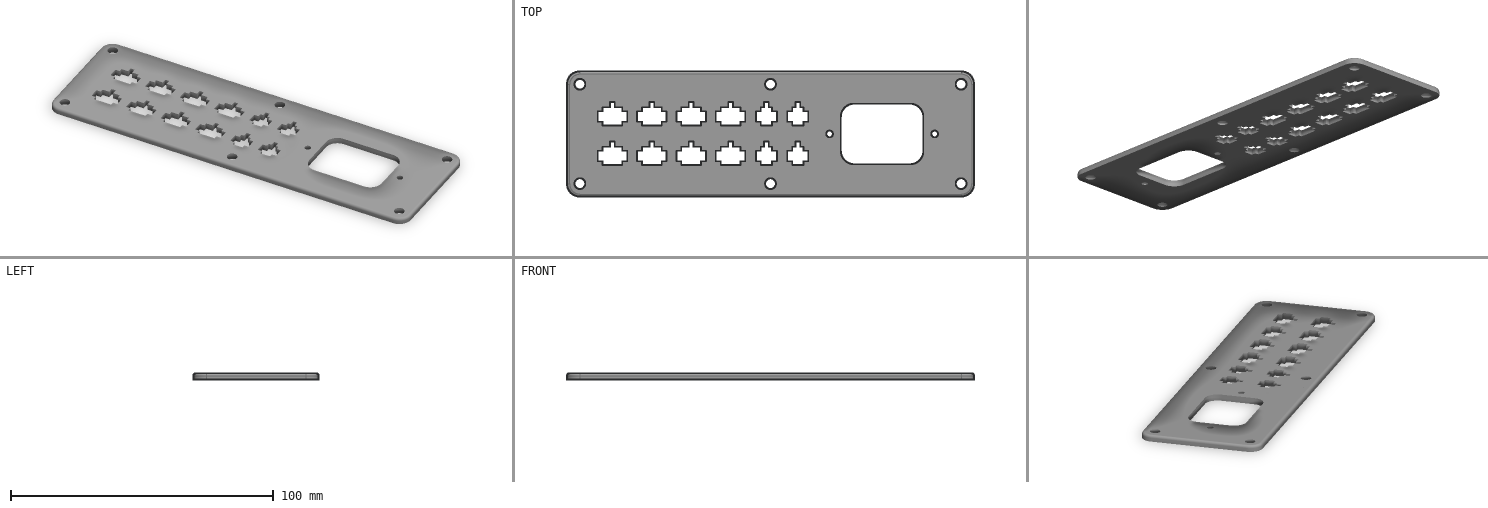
import cadquery as cq

length = 155.0
width = 47.7
thickness = 2.5
corner_radius = 5.0
edge_radius = 1.0

mount_diameter = 4.0
mount_x = length / 2 - corner_radius
mount_y = width / 2 - corner_radius

window_x = 42.5
window_length = 31.3
window_width = 23.0
window_radius = 5.0
fixing_diameter = 2.5
fixing_spacing = 40.0

row_pitch = 15.0
upper_row_y = 6.7
row_centres = [upper_row_y, upper_row_y - row_pitch]
wide_first_x = -60.1
wide_span = 45.0
wide_count = 4
wide_pitch = wide_span / (wide_count - 1)
narrow_first_x = -1.5
narrow_pitch = 12.0
narrow_count = 2

wide_body = 7.5
narrow_body = 4.2
body_height = 6.8
ear_reach = 1.9
ear_height = 3.9
key_width = 1.7
key_height = 2.0


def plate():
    blank = cq.Workplane("XY").box(length, width, thickness, centered=(True, True, False))
    return blank.edges("|Z").fillet(corner_radius).faces(">Z").edges().fillet(edge_radius)


def through_block(x, y, size_x, size_y):
    """Rectangular cutter through the plate, centred at (x, y)."""
    return cq.Workplane("XY").center(x, y).rect(size_x, size_y).extrude(thickness)


def connector_cutter(x, y, body_width):
    """Body with an ear on both sides and a key slot on its +Y side."""
    body = through_block(x, y, body_width, body_height)
    ears = through_block(x, y, body_width + 2 * ear_reach, ear_height)
    key_reach = body_height / 2 + key_height
    key = through_block(x, y + key_reach / 2, key_width, key_reach)
    return body.union(ears).union(key)


def window_cutter():
    return through_block(window_x, 0, window_length, window_width).edges("|Z").fillet(window_radius)


def hole_cutters(points, diameter):
    return cq.Workplane("XY").pushPoints(points).circle(diameter / 2).extrude(thickness)


mount_points = [(x, y) for x in (-mount_x, 0, mount_x) for y in (-mount_y, mount_y)]
fixing_points = [(window_x + side * fixing_spacing / 2, 0) for side in (-1, 1)]

result = plate()
result = result.cut(hole_cutters(mount_points, mount_diameter))
result = result.cut(hole_cutters(fixing_points, fixing_diameter))
result = result.cut(window_cutter())

for row_y in row_centres:
    for i in range(wide_count):
        result = result.cut(connector_cutter(wide_first_x + i * wide_pitch, row_y, wide_body))
    for i in range(narrow_count):
        result = result.cut(connector_cutter(narrow_first_x + i * narrow_pitch, row_y, narrow_body))